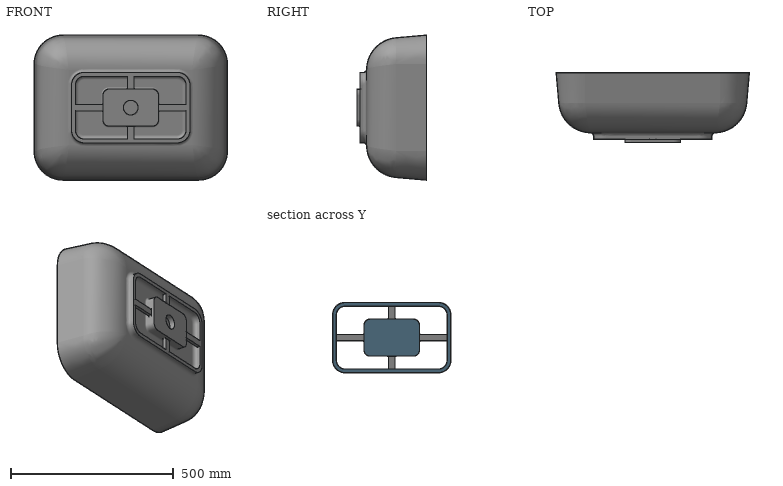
import cadquery as cq
import math

total_width = 595
total_height = 447.0
total_depth = 215.0

body_depth = 185.0
body_corner_radius = 90.0
body_draft = 5
body_edge_radius = 100.0

ring_width = 364.0
ring_height = 216.5
ring_depth = 20.0
ring_corner_radius = 38.5
ring_wall = 12.0
ring_outer_fillet = 10.0
ring_front = body_depth + ring_depth
ring_embed = 6.0

recess_width = ring_width - 2 * ring_wall
recess_height = ring_height - 2 * ring_wall
recess_corner_radius = ring_corner_radius - ring_wall
recess_floor = body_depth
recess_fillet = 11.5

boss_width = 171.0
boss_height = 114.0
boss_corner_radius = 19.0
boss_draft = 1
boss_fillet = 5.0
boss_flare = (total_depth - recess_floor) * math.tan(math.radians(boss_draft))
boss_foot_width = boss_width + 2 * boss_flare
boss_foot_height = boss_height + 2 * boss_flare

hole_diameter = 45.0
hole_depth = 18.0

rib_thickness = 20.0
rib_depth = 10.0
rib_root_fillet = 3.0
rib_middle_depth = ring_front - rib_depth / 2

pick_margin = 0.5


def rounded_block(width, height, corner_radius, start, end, draft=0):
    """Rounded rectangle centred on the Y axis, running between two depths and narrowing by the draft."""
    outline = cq.Sketch().rect(width, height).vertices().fillet(corner_radius)
    return cq.Workplane("XZ", origin=(0, -start, 0)).placeSketch(outline).extrude(end - start, taper=draft)


def edges_at_depth(width, height, depth, whole_edge=True):
    """Selector for edges at one depth within a centred rectangle, by whole edge or by edge centre."""
    half_x = width / 2 + pick_margin
    half_z = height / 2 + pick_margin
    return cq.selectors.BoxSelector(
        (-half_x, -depth - pick_margin, -half_z),
        (half_x, -depth + pick_margin, half_z),
        boundingbox=whole_edge,
    )


def rib(length_x, length_z):
    """Bar through the centre, flush with the front of the ring and clear of the recess floor."""
    return cq.Workplane("XY", origin=(0, -rib_middle_depth, 0)).box(length_x, rib_depth, length_z)


part = rounded_block(total_width, total_height, body_corner_radius, 0, body_depth, body_draft)
part = part.faces("<Y").edges().fillet(body_edge_radius)

ring = rounded_block(ring_width, ring_height, ring_corner_radius, body_depth - ring_embed, ring_front)
part = part.union(ring)
part = part.edges(edges_at_depth(ring_width, ring_height, body_depth)).fillet(ring_outer_fillet)

recess = rounded_block(recess_width, recess_height, recess_corner_radius, recess_floor, ring_front)
part = part.cut(recess.faces(">Y").edges().fillet(recess_fillet))

boss = rounded_block(
    boss_foot_width,
    boss_foot_height,
    boss_corner_radius + boss_flare,
    recess_floor,
    total_depth,
    boss_draft,
)
part = part.union(boss)
part = part.edges(edges_at_depth(boss_foot_width, boss_foot_height, recess_floor)).fillet(boss_fillet)

part = part.union(rib(recess_width, rib_thickness))
part = part.union(rib(rib_thickness, recess_height))
rib_roots = edges_at_depth(boss_foot_width, boss_foot_height, rib_middle_depth, whole_edge=False)
part = part.edges(rib_roots).fillet(rib_root_fillet)

hole = cq.Workplane("XZ", origin=(0, -total_depth, 0)).circle(hole_diameter / 2).extrude(-hole_depth)
result = part.cut(hole)